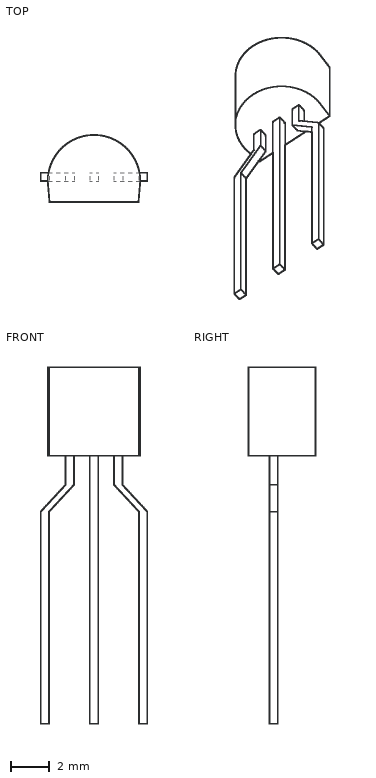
import cadquery as cq

total_height = 18.5

case_height = 4.6
case_radius = 2.4
flat_distance = 1.1
flat_half_width = 2.31
case_bottom = total_height - case_height

lead_size = 0.45
lead_span = 5.53
tip_pitch = (lead_span - lead_size) / 2
case_pitch = 1.25
upper_bend_drop = 1.5
lower_bend_drop = 2.89
upper_bend_z = case_bottom - upper_bend_drop
lower_bend_z = case_bottom - lower_bend_drop


def make_case():
    """D-shaped case standing on the plane where the leads emerge."""
    return (
        cq.Workplane("XY")
        .workplane(offset=case_bottom)
        .moveTo(-flat_half_width, -flat_distance)
        .lineTo(flat_half_width, -flat_distance)
        .lineTo(case_radius, 0)
        .threePointArc((0, case_radius), (-case_radius, 0))
        .close()
        .extrude(case_height)
    )


def make_lead(side):
    """One lead: side is -1 for left, 0 for the straight middle one, 1 for right."""
    path = [(side * tip_pitch, 0)]
    if side != 0:
        path.append((side * tip_pitch, lower_bend_z))
        path.append((side * case_pitch, upper_bend_z))
    path.append((side * case_pitch, case_bottom))

    half_width = lead_size / 2
    left_edge = [(x - half_width, z) for x, z in path]
    right_edge = [(x + half_width, z) for x, z in path]
    return (
        cq.Workplane("XZ")
        .polyline(left_edge + right_edge[::-1])
        .close()
        .extrude(-lead_size)
    )


case = make_case()
leads = [make_lead(side) for side in (-1, 0, 1)]

result = cq.Compound.makeCompound([case.val(), *[lead.val() for lead in leads]])